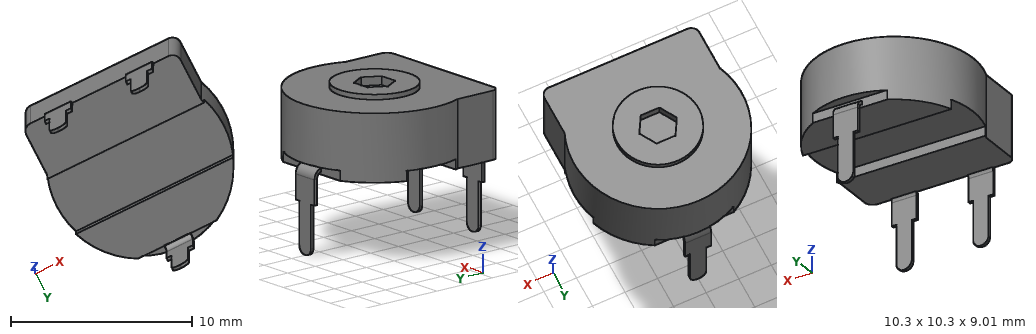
import cadquery as cq
import math

body_radius = 5.15
body_height = 4.0
body_half_width = 4.76
body_front = 5.0
corner_radius = 0.5

recess_depth = 0.6
channel_width = 3.5
rear_face = 4.54

disc_diameter = 5.0
disc_height = 0.3
socket_across_flats = 2.0
socket_depth = 0.5

pin_spacing = 2.5
pin_thickness = 0.2
shoulder_width = 1.61
shoulder_drop = 1.7
leg_width = 1.0
leg_drop = 4.71
tip_radius = 0.47
bend_radius = 0.6
bend_drop = 0.21
pin_root = 0.41
front_pin_face = 5.15
rear_pin_face = 5.03


def make_body():
    """Block with its underside at Z = 0, centred on the adjuster axis."""
    cylinder = cq.Workplane("XY").circle(body_radius).extrude(body_height)
    block = (
        cq.Workplane("XY")
        .rect(2 * body_half_width, body_front)
        .extrude(body_height)
        .translate((0, -body_front / 2, 0))
        .edges("|Z and <Y")
        .fillet(corner_radius)
    )
    front_trim = (
        cq.Workplane("XY")
        .rect(2 * body_radius, body_radius)
        .extrude(body_height)
        .translate((0, -body_front - body_radius / 2, 0))
    )
    return cylinder.cut(front_trim).union(block)


def make_recesses():
    """Channel across the underside and a step below the rear of the body."""
    channel = cq.Workplane("XY").rect(2 * body_radius, channel_width).extrude(recess_depth)
    step = (
        cq.Workplane("XY")
        .rect(2 * body_radius, body_radius)
        .extrude(recess_depth)
        .translate((0, rear_face + body_radius / 2, 0))
    )
    return channel.union(step)


def make_disc():
    return (
        cq.Workplane("XY")
        .workplane(offset=body_height)
        .circle(disc_diameter / 2)
        .extrude(disc_height)
    )


def make_socket():
    corner_diameter = socket_across_flats / math.cos(math.pi / 6)
    return (
        cq.Workplane("XY")
        .workplane(offset=body_height + disc_height)
        .polygon(6, corner_diameter)
        .extrude(-socket_depth)
    )


def make_pin(outer_face):
    """Bent strip at X = 0 whose outer face is at Y = -outer_face."""
    outer = -outer_face
    inner = outer + pin_thickness
    bend_center = outer + bend_radius
    root = bend_center + pin_root
    top = bend_radius - bend_drop
    inner_radius = bend_radius - pin_thickness
    diagonal = math.sqrt(0.5)
    strip = (
        cq.Workplane("YZ")
        .moveTo(outer, -leg_drop)
        .lineTo(outer, -bend_drop)
        .threePointArc(
            (bend_center - bend_radius * diagonal, -bend_drop + bend_radius * diagonal),
            (bend_center, top),
        )
        .lineTo(root, top)
        .lineTo(root, top - pin_thickness)
        .lineTo(bend_center, top - pin_thickness)
        .threePointArc(
            (bend_center - inner_radius * diagonal, -bend_drop + inner_radius * diagonal),
            (inner, -bend_drop),
        )
        .lineTo(inner, -leg_drop)
        .close()
        .extrude(shoulder_width / 2, both=True)
    )
    leg_length = leg_drop - shoulder_drop
    side_cut_width = (shoulder_width - leg_width) / 2
    side_cut_center = (shoulder_width + leg_width) / 4
    for side in (-1, 1):
        side_cut = cq.Workplane("XY").box(side_cut_width, 2 * pin_thickness, leg_length)
        strip = strip.cut(
            side_cut.translate((side * side_cut_center, outer, -leg_drop + leg_length / 2))
        )
    tip_edges = cq.selectors.BoxSelector(
        (-leg_width, outer - pin_thickness, -leg_drop - tip_radius),
        (leg_width, inner + pin_thickness, -leg_drop + tip_radius),
    )
    return strip.edges(tip_edges).edges("|Y").fillet(tip_radius)


result = make_body().cut(make_recesses()).union(make_disc()).cut(make_socket())

for side in (-1, 1):
    result = result.union(make_pin(front_pin_face).translate((side * pin_spacing, 0, 0)))
rear_pin = make_pin(rear_pin_face).rotate((0, 0, 0), (0, 0, 1), 180)
result = result.union(rear_pin)